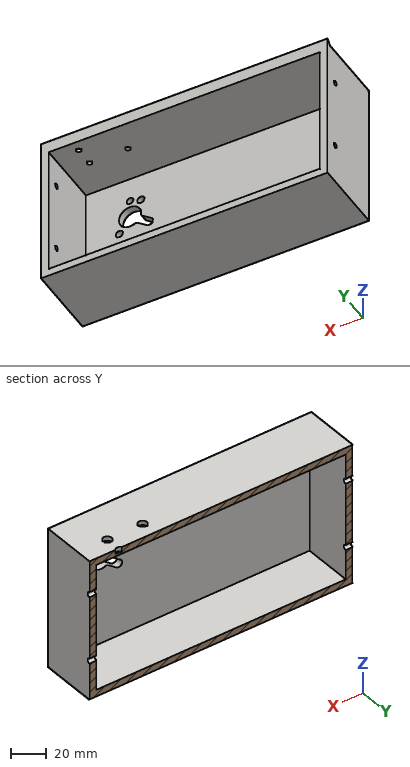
import cadquery as cq
import math

length = 185.0
depth = 47.5
height = 100.0
lip_height = 3.1
lip_width = lip_height
deck_height = height - lip_height
wall = 5.0

key_x = 151.5
key_z = 63.8
key_diameter = 14.2
slot_width = 5.0
slot_reach = 15.2
slot_angle = 215.5
slot_mouth_radius = 1.9
front_holes = [
    (-7.0, 9.6, 4.6),
    (0.0, 11.7, 4.3),
    (6.8, -10.0, 4.6),
]

bore_corner_x = 164.5
bore_corner_y = 28.3
bore_spacing_x = 24.8
bore_spacing_y = 12.4
counterbore_diameter = 6.0
counterbore_depth = 3.0
screw_diameter = 3.1

end_hole_diameter = 3.1
end_hole_y = depth - 8.9
end_hole_low_z = 27.0
end_hole_spacing = 46.3


def make_box():
    """Open-backed box whose back edge rises into a triangular lip."""
    profile = [
        (0, 0),
        (depth, 0),
        (depth, height),
        (depth - lip_width, deck_height),
        (0, deck_height),
    ]
    cavity = cq.Workplane("XY").box(
        length - 2 * wall, depth - wall, deck_height - 2 * wall, centered=False
    )
    block = cq.Workplane("YZ").polyline(profile).close().extrude(length)
    return block.cut(cavity.translate((wall, wall, wall)))


def cylinder_y(x, z, diameter):
    """Cylinder along Y through the front wall."""
    return cq.Workplane("XZ").center(x, z).circle(diameter / 2).extrude(-wall)


def make_keyhole():
    """Round opening with a slanted round-ended slot."""
    angle = math.radians(slot_angle)
    end_x = key_x + slot_reach * math.cos(angle)
    end_z = key_z + slot_reach * math.sin(angle)
    slot = (
        cq.Workplane("XZ")
        .center((key_x + end_x) / 2, (key_z + end_z) / 2)
        .slot2D(slot_reach + slot_width, slot_width, slot_angle)
        .extrude(-wall)
    )
    keyhole = cylinder_y(key_x, key_z, key_diameter).union(slot)
    mouth_x = key_x + key_diameter / 2 * math.cos(angle)
    mouth_z = key_z + key_diameter / 2 * math.sin(angle)
    reach = slot_width * 0.6
    near_mouth = cq.selectors.BoxSelector(
        (mouth_x - reach, -wall, mouth_z - reach),
        (mouth_x + reach, 2 * wall, mouth_z + reach),
    )
    return keyhole.edges("|Y").edges(near_mouth).fillet(slot_mouth_radius)


result = make_box().cut(make_keyhole())

for offset_x, offset_z, diameter in front_holes:
    result = result.cut(cylinder_y(key_x + offset_x, key_z + offset_z, diameter))

bore_centres = [
    (bore_corner_x, bore_corner_y),
    (bore_corner_x - bore_spacing_x, bore_corner_y),
    (bore_corner_x, bore_corner_y + bore_spacing_y),
]
deck = cq.Workplane("XY").workplane(offset=deck_height).pushPoints(bore_centres)
result = result.cut(deck.circle(counterbore_diameter / 2).extrude(-counterbore_depth))
result = result.cut(deck.circle(screw_diameter / 2).extrude(-wall))

end_hole_centres = [
    (end_hole_y, end_hole_low_z),
    (end_hole_y, end_hole_low_z + end_hole_spacing),
]
end_holes = cq.Workplane("YZ").pushPoints(end_hole_centres).circle(end_hole_diameter / 2).extrude(length)
result = result.cut(end_holes)